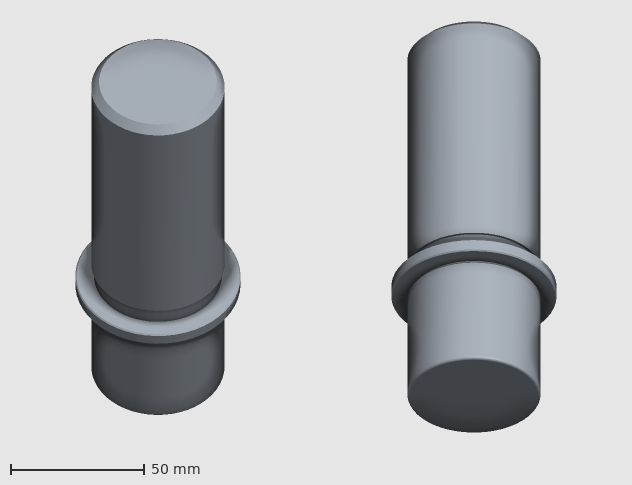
import cadquery as cq

total_height = 155.0
flange_bottom = 45.0
flange_thickness = 5.1
undercut_height = 0.5
neck_height = 7.0

pin_diameter = 50.0
neck_diameter = 48.0
flange_diameter = 62.0

top_chamfer = 3.0
bottom_fillet = 1.1
flange_chamfer = 0.5

flange_top = flange_bottom + flange_thickness
lower_pin_height = flange_bottom - undercut_height
lower_pin_chamfer = (pin_diameter - neck_diameter) / 2
upper_pin_bottom = flange_top + neck_height


def cylinder(diameter, bottom, top):
    """Solid cylinder on the Z axis between two heights."""
    return cq.Workplane("XY").workplane(offset=bottom).circle(diameter / 2).extrude(top - bottom)


lower_pin = cylinder(pin_diameter, 0, lower_pin_height)
lower_pin = lower_pin.faces("<Z").fillet(bottom_fillet)
lower_pin = lower_pin.faces(">Z").chamfer(lower_pin_chamfer)

flange = cylinder(flange_diameter, flange_bottom, flange_top)
flange = flange.faces("<Z or >Z").chamfer(flange_chamfer)

neck = cylinder(neck_diameter, lower_pin_height, upper_pin_bottom)

upper_pin = cylinder(pin_diameter, upper_pin_bottom, total_height)
upper_pin = upper_pin.faces(">Z").chamfer(top_chamfer)

result = lower_pin.union(neck).union(flange).union(upper_pin)